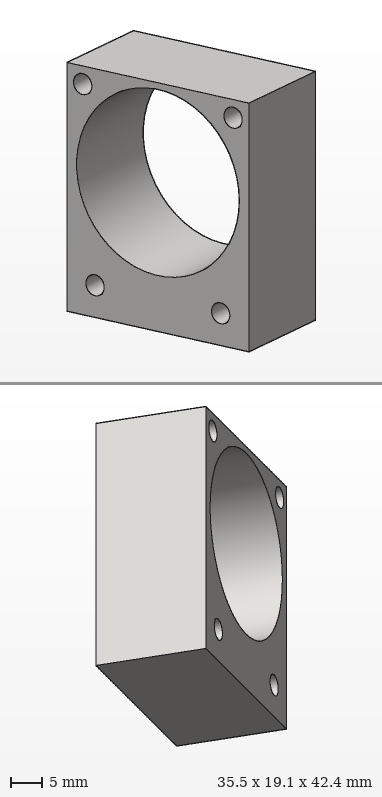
import cadquery as cq

width = 35.55
depth = 19.05
height = 42.4

bore_diameter = 31.75
bore_height = 4.2

screw_diameter = 3.55
upper_spacing = 29.35
upper_height = 18.1
lower_spacing = 24.5
lower_height = -15.7


def through_hole(diameter, x, z):
    """Cylinder along Y that spans the full depth of the block."""
    return (
        cq.Workplane("XZ")
        .center(x, z)
        .circle(diameter / 2)
        .extrude(depth / 2, both=True)
    )


result = cq.Workplane("XY").box(width, depth, height)
result = result.cut(through_hole(bore_diameter, 0, bore_height))

screw_pairs = [(upper_spacing, upper_height), (lower_spacing, lower_height)]
for spacing, z in screw_pairs:
    for side in (-1, 1):
        result = result.cut(through_hole(screw_diameter, side * spacing / 2, z))